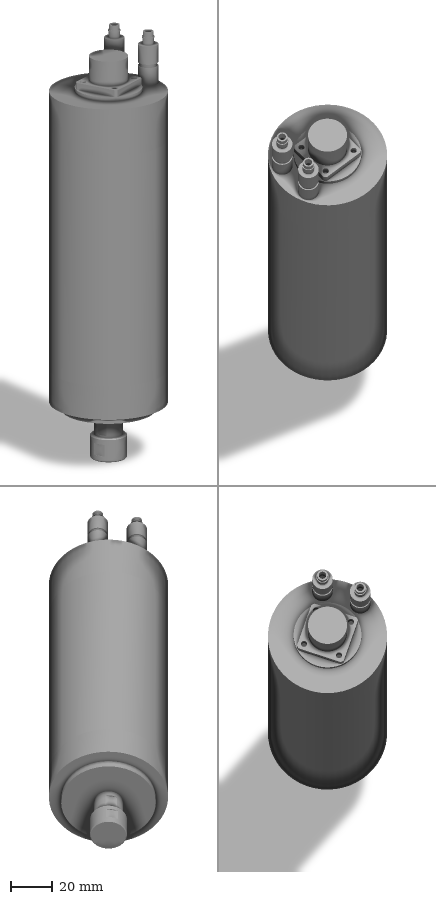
import cadquery as cq
import math

housing_diameter = 58.0
front_bearing_length = 17.0
tube_length = 118.0
rear_cap_length = 24.0
pilot_diameter = 46.0
pilot_length = 4.0

tube_bottom_z = front_bearing_length
rear_cap_bottom_z = tube_bottom_z + tube_length
rear_face_z = rear_cap_bottom_z + rear_cap_length

shaft_diameter = 14.2
shaft_length = 12.5
shaft_across_flats = 13.0
shaft_flat_length = 8.5
shaft_flat_center_below_pilot = 7.3

nut_diameter = 18.0
nut_length = 12.0
nut_chamfer = 0.5
nut_across_flats = 17.0
nut_flat_length = 6.0

shaft_top_z = -pilot_length
nut_top_z = shaft_top_z - shaft_length
nut_bottom_z = nut_top_z - nut_length

connector_base_diameter = 33.0
connector_base_height = 2.0
connector_plate_width = 24.0
connector_plate_corner_diameter = 32.4
connector_plate_height = 3.5
connector_plug_diameter = 19.0
connector_plug_height = 12.5
connector_hole_diameter = 3.0
connector_hole_pitch = 18.0

fitting_spacing = 19.4
fitting_offset_y = 20.8
fitting_radius = 5.0
fitting_groove_radius = 4.4
fitting_groove_bottom = 9.0
fitting_groove_top = 10.8
fitting_body_height = 20.0
fitting_neck_radius = 2.8
fitting_barb_radius = 3.0
fitting_barb_bottom = 23.2
fitting_barb_top = 24.0
fitting_tip_radius = 2.6
fitting_height = 26.5
fitting_bore_radius = 1.8
fitting_bore_bottom = 20.0
drill_point_angle = 118.0

fitting_drill_point_depth = fitting_bore_radius / math.tan(math.radians(drill_point_angle / 2))


def cylinder(diameter, bottom_z, height):
    """Solid cylinder on the Z axis."""
    return cq.Workplane("XY").workplane(offset=bottom_z).circle(diameter / 2).extrude(height)


def cut_two_flats(body, across_flats, flat_length, center_z):
    """Mill a pair of parallel flats into the -Y and +Y sides of a round body."""
    cutter_size = housing_diameter
    for side in (-1, 1):
        cutter_y = side * (across_flats + cutter_size) / 2
        cutter = cq.Workplane("XY").box(cutter_size, cutter_size, flat_length)
        body = body.cut(cutter.translate((0, cutter_y, center_z)))
    return body


def make_front_bearing():
    """Lower housing section with its locating pilot."""
    pilot = cylinder(pilot_diameter, -pilot_length, pilot_length)
    return cylinder(housing_diameter, 0, front_bearing_length).union(pilot)


def make_shaft():
    """Spindle shaft with two wrench flats."""
    shaft = cylinder(shaft_diameter, nut_top_z, shaft_length)
    flat_z = shaft_top_z - shaft_flat_center_below_pilot
    return cut_two_flats(shaft, shaft_across_flats, shaft_flat_length, flat_z)


def make_collet_nut():
    """Round nut with chamfered rims and two wrench flats."""
    nut = cylinder(nut_diameter, nut_bottom_z, nut_length)
    nut = nut.faces("<Z or >Z").chamfer(nut_chamfer)
    return cut_two_flats(nut, nut_across_flats, nut_flat_length, nut_bottom_z + nut_length / 2)


def make_connector():
    """Round base, square plate with rounded-off corners and four holes, and a round plug."""
    plate_z = rear_face_z + connector_base_height
    plug_z = plate_z + connector_plate_height
    plate = (
        cq.Workplane("XY")
        .workplane(offset=plate_z)
        .rect(connector_plate_width, connector_plate_width)
        .extrude(connector_plate_height)
        .intersect(cylinder(connector_plate_corner_diameter, plate_z, connector_plate_height))
    )
    holes = (
        cq.Workplane("XY")
        .workplane(offset=plate_z)
        .rect(connector_hole_pitch, connector_hole_pitch, forConstruction=True)
        .vertices()
        .circle(connector_hole_diameter / 2)
        .extrude(connector_plate_height)
    )
    base = cylinder(connector_base_diameter, rear_face_z, connector_base_height)
    plug = cylinder(connector_plug_diameter, plug_z, connector_plug_height)
    return base.union(plate.cut(holes)).union(plug)


def make_fitting(center_x):
    """Turned hose fitting: grooved body, thin neck, barb and a blind drilled bore."""
    profile = [
        (0, 0),
        (fitting_radius, 0),
        (fitting_radius, fitting_groove_bottom),
        (fitting_groove_radius, fitting_groove_bottom),
        (fitting_groove_radius, fitting_groove_top),
        (fitting_radius, fitting_groove_top),
        (fitting_radius, fitting_body_height),
        (fitting_neck_radius, fitting_body_height),
        (fitting_neck_radius, fitting_barb_bottom),
        (fitting_barb_radius, fitting_barb_bottom),
        (fitting_barb_radius, fitting_barb_top),
        (fitting_tip_radius, fitting_barb_top),
        (fitting_tip_radius, fitting_height),
        (fitting_bore_radius, fitting_height),
        (fitting_bore_radius, fitting_bore_bottom),
        (0, fitting_bore_bottom - fitting_drill_point_depth),
    ]
    fitting = cq.Workplane("XZ").polyline(profile).close().revolve(360, (0, 0), (0, 1))
    return fitting.translate((center_x, fitting_offset_y, rear_face_z))


front_bearing = make_front_bearing()
tube = cylinder(housing_diameter, tube_bottom_z, tube_length)
rear_cap = cylinder(housing_diameter, rear_cap_bottom_z, rear_cap_length)
shaft = make_shaft()
collet_nut = make_collet_nut()
connector = make_connector()
fittings = [make_fitting(side * fitting_spacing / 2) for side in (-1, 1)]

result = cq.Compound.makeCompound(
    [
        front_bearing.val(),
        tube.val(),
        rear_cap.val(),
        shaft.val(),
        collet_nut.val(),
        connector.val(),
        *[fitting.val() for fitting in fittings],
    ]
)